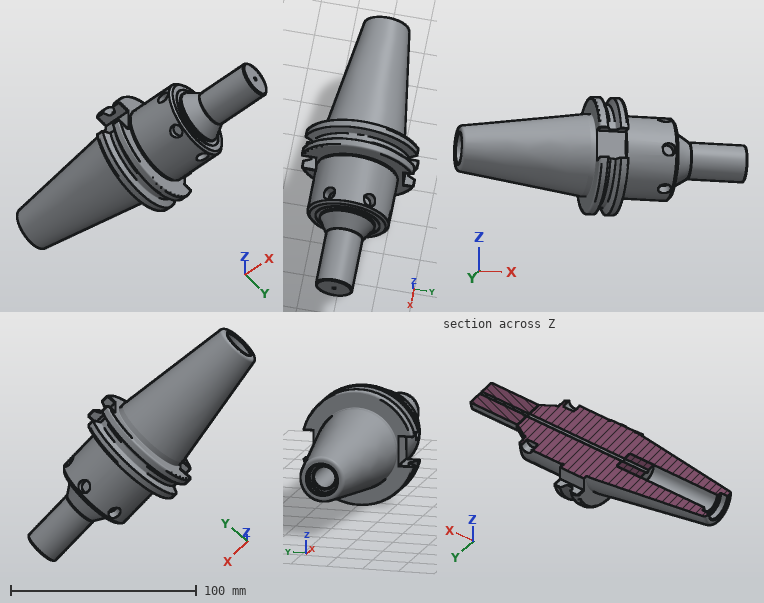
import cadquery as cq
import math

TOTAL_LENGTH = 157.2

TAPER_LENGTH = 68.2
TAPER_RATIO = 7 / 24
GAUGE_DIAMETER = 44.5
TAPER_END_FILLET = 1.9
TAPER_ROOT_FILLET = 0.3

FLANGE_START = 71.3
FLANGE_WIDTH = 15.9
FLANGE_DIAMETER = 63.3
FLANGE_REAR_FILLET = 1.1
FLANGE_FRONT_FILLET = 1.0

GROOVE_CENTER = 79.4
GROOVE_FLOOR_DIAMETER = 55.6
GROOVE_FLOOR_WIDTH = 3.5
GROOVE_HALF_ANGLE = 26.0
GROOVE_FLOOR_FILLET = 0.5

SLOT_WIDTH = 16.2
SLOT_CHAMFER = 0.4
NEAR_SLOT_FLOOR = 22.6
FAR_SLOT_FLOOR = 24.8

RELIEF_END = 88.2
RELIEF_DEPTH = 0.6
NOSE_END = 116.6
NOSE_CHAMFER = 1.4
STEP_DIAMETER = 35.0
STEP_END = 116.9
COLLAR_DIAMETER = 30.0
COLLAR_END = 118.0
CONE_END = 126.0

HOLE_COUNT = 6
HOLE_DIAMETER = 6.9
HOLE_CENTER = 111.1
HOLE_FLOOR_RADIUS = 16.7
FIRST_HOLE_ANGLE = 30.0

NUT_DIAMETER = 20.0
NUT_END_CHAMFER = 0.6
NUT_REAR_CHAMFER_LENGTH = 0.4
NUT_REAR_CHAMFER_DEPTH = 0.2
NUT_HOLE_DIAMETER = 1.5

MOUTH_DIAMETER = 17.9
PILOT_DIAMETER = 16.8
PILOT_DEPTH = 4.7
PILOT_FLOOR_DIAMETER = 16.3
LEAD_IN_DIAMETER = 13.4
CORE_DIAMETER = 12.0
COOLANT_DIAMETER = 2.0
PLUG_START = 47.1
PLUG_LENGTH = 15.7

flange_end = FLANGE_START + FLANGE_WIDTH
flange_radius = FLANGE_DIAMETER / 2
body_radius = GAUGE_DIAMETER / 2
nut_radius = NUT_DIAMETER / 2


def rod(start, end, diameter):
    """Solid cylinder on the X axis."""
    return cq.Workplane("YZ", origin=(start, 0, 0)).circle(diameter / 2).extrude(end - start)


def turned(points):
    """Solid of revolution about X from (x, radius) points."""
    return cq.Workplane("XY").polyline(points).close().revolve(360, (0, 0, 0), (1, 0, 0))


def taper_shank():
    """Steep taper ending in a short cylinder, rounded at its small end."""
    small_radius = body_radius - TAPER_LENGTH * TAPER_RATIO / 2
    shank = turned([
        (0, 0), (0, small_radius), (TAPER_LENGTH, body_radius),
        (FLANGE_START, body_radius), (FLANGE_START, 0),
    ])
    return shank.faces("<X").edges().fillet(TAPER_END_FILLET)


def root_fillet():
    """Concave ring that blends the shank into the rear face of the flange."""
    root_start = FLANGE_START - TAPER_ROOT_FILLET
    fillet_radius = body_radius + TAPER_ROOT_FILLET
    arc_reach = TAPER_ROOT_FILLET * math.sqrt(0.5)
    arc_middle = (root_start + arc_reach, fillet_radius - arc_reach)
    profile = cq.Workplane("XY").moveTo(root_start, 0).lineTo(root_start, body_radius)
    profile = profile.threePointArc(arc_middle, (FLANGE_START, fillet_radius)).lineTo(FLANGE_START, 0)
    return profile.close().revolve(360, (0, 0, 0), (1, 0, 0))


def flange():
    """Disc with rounded rims and a V groove."""
    disc = rod(FLANGE_START, flange_end, FLANGE_DIAMETER)
    disc = disc.faces("<X").edges().fillet(FLANGE_REAR_FILLET)
    disc = disc.faces(">X").edges().fillet(FLANGE_FRONT_FILLET)
    return disc.cut(rim_groove())


def rim_groove():
    """Ring that cuts the V groove."""
    floor_radius = GROOVE_FLOOR_DIAMETER / 2
    half_floor = GROOVE_FLOOR_WIDTH / 2
    half_mouth = half_floor + (flange_radius - floor_radius) * math.tan(math.radians(GROOVE_HALF_ANGLE))
    ring = turned([
        (GROOVE_CENTER - half_floor, floor_radius), (GROOVE_CENTER + half_floor, floor_radius),
        (GROOVE_CENTER + half_mouth, flange_radius), (GROOVE_CENTER - half_mouth, flange_radius),
    ])
    floor_edges = cq.selectors.RadiusNthSelector(0)
    return ring.edges(floor_edges).fillet(GROOVE_FLOOR_FILLET)


def nose():
    """Relieved neck, chamfered cylinder, stepped collar and cone."""
    relief_radius = body_radius - RELIEF_DEPTH
    step_radius = STEP_DIAMETER / 2
    collar_radius = COLLAR_DIAMETER / 2
    return turned([
        (flange_end, 0), (flange_end, relief_radius), (RELIEF_END, relief_radius),
        (RELIEF_END, body_radius), (NOSE_END - NOSE_CHAMFER, body_radius),
        (NOSE_END, body_radius - NOSE_CHAMFER), (NOSE_END, step_radius),
        (STEP_END, step_radius), (STEP_END, collar_radius),
        (COLLAR_END, collar_radius), (CONE_END, nut_radius), (CONE_END, 0),
    ])


def drive_slot(side, floor):
    """Slot through the flange on the +Y (side 1) or -Y (side -1) side, flared at its edges."""
    half_width = SLOT_WIDTH / 2
    flared = half_width + SLOT_CHAMFER
    rim_y = math.sqrt(flange_radius**2 - half_width**2)
    passage_outline = [
        (FLANGE_START, -flared), (FLANGE_START + SLOT_CHAMFER, -half_width),
        (flange_end - SLOT_CHAMFER, -half_width), (flange_end, -flared),
        (flange_end, flared), (flange_end - SLOT_CHAMFER, half_width),
        (FLANGE_START + SLOT_CHAMFER, half_width), (FLANGE_START, flared),
    ]
    passage = cq.Workplane("XZ", origin=(0, side * floor, 0)).polyline(passage_outline).close()
    passage = passage.extrude(-side * (flange_radius - floor))
    mouth_outline = [
        (side * (rim_y - SLOT_CHAMFER), -half_width), (side * rim_y, -flared),
        (side * flange_radius, -flared), (side * flange_radius, flared),
        (side * rim_y, flared), (side * (rim_y - SLOT_CHAMFER), half_width),
    ]
    mouth = cq.Workplane("YZ", origin=(FLANGE_START, 0, 0)).polyline(mouth_outline).close()
    return passage.union(mouth.extrude(FLANGE_WIDTH))


def radial_holes():
    """Flat-bottomed holes evenly spaced around the nose."""
    hole = cq.Workplane("XY", origin=(HOLE_CENTER, 0, HOLE_FLOOR_RADIUS)).circle(HOLE_DIAMETER / 2)
    hole = hole.extrude(flange_radius - HOLE_FLOOR_RADIUS)
    holes = cq.Workplane("XY")
    for i in range(HOLE_COUNT):
        holes = holes.add(hole.rotate((0, 0, 0), (1, 0, 0), FIRST_HOLE_ANGLE + 360 / HOLE_COUNT * i))
    return holes.combine()


def rear_bore():
    """Chamfered pilot, chamfered threaded core and fine coolant hole, all on the X axis."""
    mouth_radius = MOUTH_DIAMETER / 2
    pilot_radius = PILOT_DIAMETER / 2
    pilot_floor_radius = PILOT_FLOOR_DIAMETER / 2
    lead_in_radius = LEAD_IN_DIAMETER / 2
    core_radius = CORE_DIAMETER / 2
    coolant_radius = COOLANT_DIAMETER / 2
    core_end = PLUG_START + PLUG_LENGTH
    return turned([
        (0, 0), (0, mouth_radius), (mouth_radius - pilot_radius, pilot_radius),
        (PILOT_DEPTH - (pilot_radius - pilot_floor_radius), pilot_radius),
        (PILOT_DEPTH, pilot_floor_radius), (PILOT_DEPTH, lead_in_radius),
        (PILOT_DEPTH + lead_in_radius - core_radius, core_radius), (core_end, core_radius),
        (core_end, coolant_radius), (CONE_END, coolant_radius), (CONE_END, 0),
    ])


def make_holder():
    """Tool holder: taper, flange and nose in one piece."""
    body = taper_shank().union(flange()).union(root_fillet()).union(nose())
    body = body.cut(drive_slot(-1, NEAR_SLOT_FLOOR)).cut(drive_slot(1, FAR_SLOT_FLOOR))
    return body.cut(radial_holes()).cut(rear_bore())


def make_nut():
    """Slim nut seated on the end of the cone."""
    hole_radius = NUT_HOLE_DIAMETER / 2
    return turned([
        (CONE_END, hole_radius), (CONE_END, nut_radius - NUT_REAR_CHAMFER_DEPTH),
        (CONE_END + NUT_REAR_CHAMFER_LENGTH, nut_radius), (TOTAL_LENGTH - NUT_END_CHAMFER, nut_radius),
        (TOTAL_LENGTH, nut_radius - NUT_END_CHAMFER), (TOTAL_LENGTH, hole_radius),
    ])


def make_plug():
    """Plug with a coolant hole at the bottom of the rear bore."""
    plug = rod(PLUG_START, PLUG_START + PLUG_LENGTH, CORE_DIAMETER)
    return plug.cut(rod(PLUG_START, PLUG_START + PLUG_LENGTH, COOLANT_DIAMETER))


holder = make_holder()
nut = make_nut()
plug = make_plug()

result = cq.Compound.makeCompound([holder.val(), nut.val(), plug.val()])